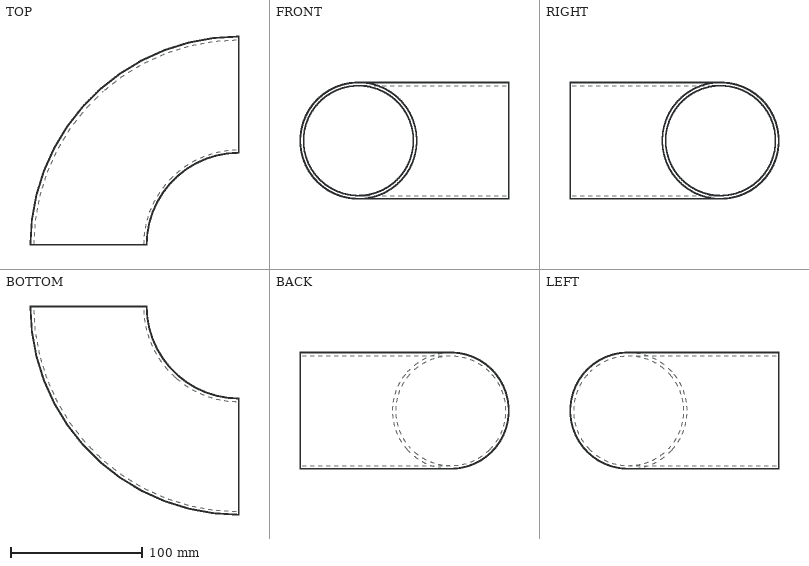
import cadquery as cq

overall_length = 159.0
outer_diameter = 88.9
wall_thickness = 2.5
bend_angle = 90.0

outer_radius = outer_diameter / 2
inner_radius = outer_radius - wall_thickness
bend_radius = overall_length - outer_radius


def pipe_elbow():
    """Sweep the pipe ring about a vertical bend axis through the origin.

    The ring starts on the open end facing -Y, to the -X side of the axis,
    and turns clockwise seen from above to the open end facing +X.
    """
    ring = (
        cq.Workplane("XZ")
        .center(-bend_radius, 0)
        .circle(outer_radius)
        .circle(inner_radius)
    )
    axis_start = (bend_radius, 0)
    axis_end = (bend_radius, -1)
    return ring.revolve(bend_angle, axis_start, axis_end)


result = pipe_elbow()